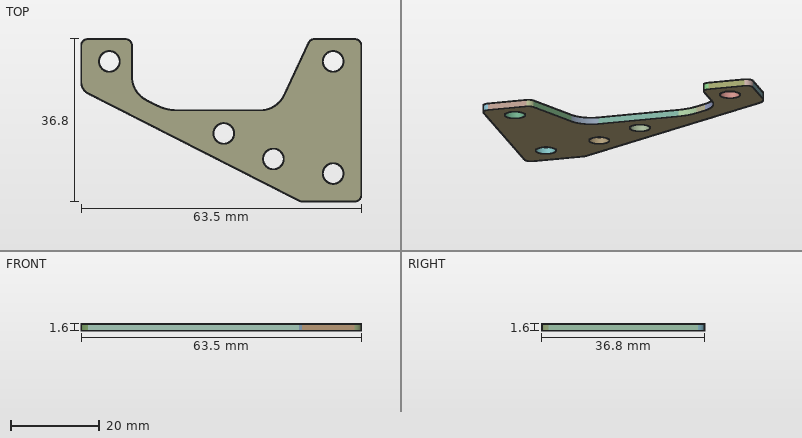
import cadquery as cq
import math

length = 63.5
width = 36.8
thickness = 1.6

slope_start_y = 25.3
slope_end_x = 49.7
tab_width = 11.55
notch_floor_y = 20.7
notch_chamfer_height = 3.95
notch_right_x = 44.4
notch_right_angle = 65.0

outer_radius = 1.5
tab_corner_radius = 3.0
notch_radius = 6.0
notch_blend_radius = 10.0

hole_diameter = 4.65
hole_edge_offset_x = 6.4
hole_edge_offset_y = 5.1
hole_pitch_y = 25.4
middle_holes = [(32.3, 15.4), (43.55, 9.65)]

slope = slope_start_y / slope_end_x
notch_chamfer_end_x = tab_width + notch_chamfer_height / slope
notch_rise = (width - notch_floor_y) / math.tan(math.radians(notch_right_angle))
notch_top_x = notch_right_x + notch_rise

corners = [
    (slope_end_x, 0, outer_radius),
    (length, 0, outer_radius),
    (length, width, outer_radius),
    (notch_top_x, width, outer_radius),
    (notch_right_x, notch_floor_y, notch_radius),
    (notch_chamfer_end_x, notch_floor_y, notch_blend_radius),
    (tab_width, notch_floor_y + notch_chamfer_height, notch_radius),
    (tab_width, width, outer_radius),
    (0, width, outer_radius),
    (0, slope_start_y, tab_corner_radius),
]


def make_plate():
    """Extrude the sharp outline, then round each vertical edge."""
    points = [(x, y) for x, y, radius in corners]
    plate = cq.Workplane("XY").polyline(points).close().extrude(thickness)
    for x, y, radius in corners:
        corner_edge = cq.selectors.NearestToPointSelector((x, y, thickness / 2))
        plate = plate.edges("|Z").edges(corner_edge).fillet(radius)
    return plate


def cut_holes(plate):
    """Drill the three corner holes and the two middle holes through the plate."""
    right_x = length - hole_edge_offset_x
    upper_y = width - hole_edge_offset_y
    corner_holes = [
        (hole_edge_offset_x, upper_y),
        (right_x, upper_y),
        (right_x, upper_y - hole_pitch_y),
    ]
    drills = (
        cq.Workplane("XY")
        .pushPoints(corner_holes + middle_holes)
        .circle(hole_diameter / 2)
        .extrude(thickness)
    )
    return plate.cut(drills)


result = cut_holes(make_plate())